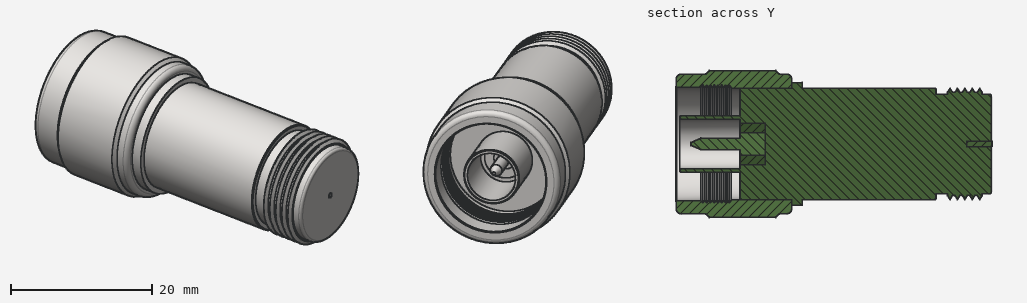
import cadquery as cq
import math


length = 44.7
floor_x = 9.05

nut_radius = 9.93
nut_length = 16.4
nut_round = 0.75
band_radius = 20.9 / 2
band_start = 4.2
band_end = 14.6
band_chamfer = band_radius - nut_radius
nut_bore_radius = 8.0
mouth_chamfer = 0.15
nut_thread_start = 3.55
nut_thread_pitch = 0.55
nut_thread_grooves = 8
thread_flank_angle = 60
nut_thread_depth = nut_thread_pitch / 2 * math.tan(math.radians(thread_flank_angle))
nut_crest_radius = 7.85
nut_root_radius = nut_crest_radius + nut_thread_depth

sleeve_radius = 4.02
sleeve_start = 0.55
sleeve_chamfer = 0.15
sleeve_bore_radius = 3.5
socket_depth = 3.58
collar_radius = 8.7
collar_end = 17.9
barrel_radius = 7.9
barrel_end = 36.8
barrel_chamfer = 0.15
neck_radius = 7.1
body_end = 44.65
end_round = 0.4
rear_thread_start = 38.4
rear_thread_teeth = 5
rear_thread_span = 4.2
rear_thread_pitch = rear_thread_span / (rear_thread_teeth - 1)
tooth_width = 0.7
tooth_base_radius = 7.35
tooth_crest_radius = barrel_radius

insulator_radius = 2.9
pin_shoulder_radius = 1.55
pin_radius = 0.85
pin_tip_radius = 0.22
pin_tip_x = 2.1
pin_cone_length = 1.45
contact_radius = 0.35
contact_depth = 3.58


def turned(outline):
    """Revolve a closed XY outline, with Y as the radius, about the X axis."""
    return outline.close().revolve(360, (0, 0, 0), (1, 0, 0))


def cylinder(radius, start, end):
    return cq.Workplane("YZ", origin=(start, 0, 0)).circle(radius).extrude(end - start)


def arc_middle_inset(radius):
    """Distance from a square corner's sides to the middle of its quarter-round."""
    return radius * (1 - math.cos(math.radians(45)))


def make_nut():
    inset = arc_middle_inset(nut_round)
    rounded_radius = nut_radius - nut_round
    outline = (
        cq.Workplane("XY")
        .moveTo(0, nut_bore_radius + mouth_chamfer)
        .lineTo(0, rounded_radius)
        .threePointArc((inset, nut_radius - inset), (nut_round, nut_radius))
        .lineTo(band_start, nut_radius)
        .lineTo(band_start + band_chamfer, band_radius)
        .lineTo(band_end - band_chamfer, band_radius)
        .lineTo(band_end, nut_radius)
        .lineTo(nut_length - nut_round, nut_radius)
        .threePointArc((nut_length - inset, nut_radius - inset), (nut_length, rounded_radius))
        .lineTo(nut_length, nut_crest_radius)
    )
    for groove in reversed(range(nut_thread_grooves)):
        groove_start = nut_thread_start + groove * nut_thread_pitch
        outline = outline.lineTo(groove_start + nut_thread_pitch, nut_crest_radius)
        outline = outline.lineTo(groove_start + nut_thread_pitch / 2, nut_root_radius)
    outline = outline.lineTo(nut_thread_start, nut_bore_radius)
    return turned(outline.lineTo(mouth_chamfer, nut_bore_radius))


def make_body():
    end_inset = arc_middle_inset(end_round)
    outline = (
        cq.Workplane("XY")
        .moveTo(sleeve_start, 0)
        .lineTo(sleeve_start, sleeve_radius - sleeve_chamfer)
        .lineTo(sleeve_start + sleeve_chamfer, sleeve_radius)
        .lineTo(floor_x, sleeve_radius)
        .lineTo(floor_x, nut_crest_radius)
        .lineTo(nut_length, nut_crest_radius)
        .lineTo(nut_length, collar_radius)
        .lineTo(collar_end, collar_radius)
        .lineTo(collar_end, barrel_radius)
        .lineTo(barrel_end - barrel_chamfer, barrel_radius)
        .lineTo(barrel_end, barrel_radius - barrel_chamfer)
        .lineTo(barrel_end, neck_radius)
    )
    outline = outline.lineTo(rear_thread_start, neck_radius)
    for tooth in range(rear_thread_teeth):
        tooth_start = rear_thread_start + tooth * rear_thread_pitch
        outline = (
            outline.lineTo(tooth_start, tooth_base_radius)
            .lineTo(tooth_start + tooth_width / 2, tooth_crest_radius)
            .lineTo(tooth_start + tooth_width, tooth_base_radius)
        )
    thread_end = rear_thread_start + rear_thread_span + tooth_width
    outline = (
        outline.lineTo(thread_end, neck_radius)
        .lineTo(body_end - end_round, neck_radius)
        .threePointArc((body_end - end_inset, neck_radius - end_inset), (body_end, neck_radius - end_round))
        .lineTo(body_end, 0)
    )
    body = turned(outline)
    body = body.cut(cylinder(sleeve_bore_radius, sleeve_start, floor_x))
    body = body.cut(cylinder(insulator_radius, floor_x, floor_x + socket_depth))
    return body.cut(cylinder(contact_radius, length - contact_depth, length))


def make_insulator():
    insulator = cylinder(insulator_radius, floor_x, floor_x + socket_depth)
    return insulator.cut(cylinder(pin_shoulder_radius, floor_x, floor_x + socket_depth))


def make_pin():
    outline = (
        cq.Workplane("XY")
        .moveTo(pin_tip_x, 0)
        .lineTo(pin_tip_x, pin_tip_radius)
        .lineTo(pin_tip_x + pin_cone_length, pin_radius)
        .lineTo(floor_x, pin_radius)
        .lineTo(floor_x, pin_shoulder_radius)
        .lineTo(floor_x + socket_depth, pin_shoulder_radius)
        .lineTo(floor_x + socket_depth, 0)
    )
    return turned(outline)


def make_rear_contact():
    return cylinder(contact_radius, length - contact_depth, length)


nut = make_nut()
body = make_body()
insulator = make_insulator()
pin = make_pin()
rear_contact = make_rear_contact()

result = cq.Compound.makeCompound(
    [nut.val(), body.val(), insulator.val(), pin.val(), rear_contact.val()]
)